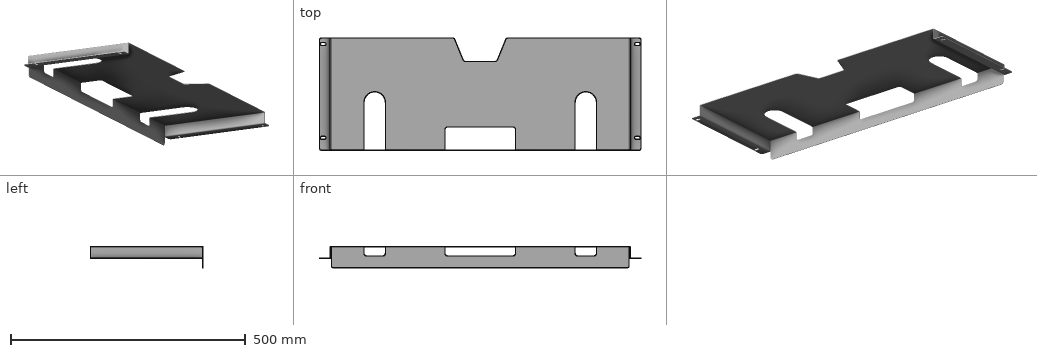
import cadquery as cq

thickness = 1.5
inner_radius = 1.0
outer_radius = inner_radius + thickness

overall_width = 686.0
depth = 240.0
body_width = 640.0
side_height = 26.0
front_height = 46.0
corner_radius = 5.0

side_setback = 0.1

half_width = overall_width / 2
half_body = body_width / 2
bend_start_x = half_body - outer_radius
inside_x = half_body - thickness

cut_margin = 1.0

cutout_drop = 20.0
finger_slot_offset = 225.0
finger_slot_width = 45.0
finger_slot_length = 125.0
window_width = 150.0
window_length = 50.0

notch_depth = 50.0
notch_mouth_width = 111.0
notch_floor_width = 70.0

mount_length = 12.0
mount_width = 6.0
mount_edge_distance = 8.0
mount_front_y = 27.0
mount_spacing = 200.0


def box(x_min, x_max, y_min, y_max, z_min, z_max):
    """Axis-aligned box given by its limits."""
    size = (x_max - x_min, y_max - y_min, z_max - z_min)
    return cq.Workplane("XY").box(*size, centered=False).translate((x_min, y_min, z_min))


def make_side():
    """Right-hand strip: top bend, side wall, lower bend and mounting flange."""
    flange_top = thickness - side_height
    flange_start_x = half_body + inner_radius
    outline = (
        cq.Workplane("XZ")
        .moveTo(bend_start_x, 0)
        .radiusArc((half_body, -outer_radius), outer_radius)
        .lineTo(half_body, flange_top + inner_radius)
        .radiusArc((flange_start_x, flange_top), -inner_radius)
        .lineTo(half_width, flange_top)
        .lineTo(half_width, -side_height)
        .lineTo(flange_start_x, -side_height)
        .radiusArc((inside_x, flange_top + inner_radius), outer_radius)
        .lineTo(inside_x, -outer_radius)
        .radiusArc((bend_start_x, -thickness), -inner_radius)
        .close()
    )
    strip = outline.extrude(side_setback - depth).translate((0, side_setback, 0))
    strip = strip.edges("|Z and >X").fillet(corner_radius)
    mount_x = half_width - mount_edge_distance
    mounts = (
        cq.Workplane("XY")
        .pushPoints([(mount_x, mount_front_y), (mount_x, mount_front_y + mount_spacing)])
        .slot2D(mount_length, mount_width)
        .extrude(-front_height)
    )
    return strip.cut(mounts)


def make_top_and_front():
    """Top panel bent down along its front edge into the front flange."""
    outline = (
        cq.Workplane("YZ")
        .moveTo(depth, 0)
        .lineTo(outer_radius, 0)
        .radiusArc((0, -outer_radius), -outer_radius)
        .lineTo(0, -front_height)
        .lineTo(thickness, -front_height)
        .lineTo(thickness, -outer_radius)
        .radiusArc((outer_radius, -thickness), inner_radius)
        .lineTo(depth, -thickness)
        .close()
    )
    panel = outline.extrude(bend_start_x, both=True)
    return panel.edges("|Y").edges("<Z").fillet(corner_radius)


def front_drop(center_x, width):
    """Part of a front cut-out that opens the front bend and the upper front flange."""
    x_min = center_x - width / 2
    drop = box(x_min, x_min + width, -cut_margin, outer_radius, -cutout_drop, cut_margin)
    return drop.edges("|Y and <Z").fillet(corner_radius)


def finger_slot(center_x):
    """Round-ended slot in the top panel that continues down into the front flange."""
    end_radius = finger_slot_width / 2
    straight_end = finger_slot_length - end_radius
    plan = (
        cq.Workplane("XY")
        .moveTo(center_x - end_radius, -cut_margin)
        .lineTo(center_x - end_radius, straight_end)
        .threePointArc((center_x, finger_slot_length), (center_x + end_radius, straight_end))
        .lineTo(center_x + end_radius, -cut_margin)
        .close()
        .extrude(-outer_radius)
    )
    return plan.union(front_drop(center_x, finger_slot_width))


def window():
    """Central rectangular opening in the top panel that continues down into the front flange."""
    half_window = window_width / 2
    plan = box(-half_window, half_window, -cut_margin, window_length, -outer_radius, cut_margin)
    plan = plan.edges("|Z and >Y").fillet(corner_radius)
    return plan.union(front_drop(0, window_width))


def rear_notch():
    """Tapered notch, with sharp corners."""
    floor_y = depth - notch_depth
    return (
        cq.Workplane("XY")
        .moveTo(-notch_mouth_width / 2, depth)
        .lineTo(-notch_floor_width / 2, floor_y)
        .lineTo(notch_floor_width / 2, floor_y)
        .lineTo(notch_mouth_width / 2, depth)
        .close()
        .extrude(-thickness)
    )


panel = make_top_and_front().cut(rear_notch())
notch_corners = cq.selectors.BoxSelector(
    (-notch_mouth_width, depth - notch_depth - cut_margin, -front_height),
    (notch_mouth_width, depth + cut_margin, cut_margin),
)
panel = panel.edges("|Z").edges(notch_corners).fillet(corner_radius)

panel = panel.cut(window())
for side in (-1, 1):
    panel = panel.cut(finger_slot(side * finger_slot_offset))

right_side = make_side()
left_side = right_side.mirror("YZ")
result = panel.union(right_side).union(left_side)